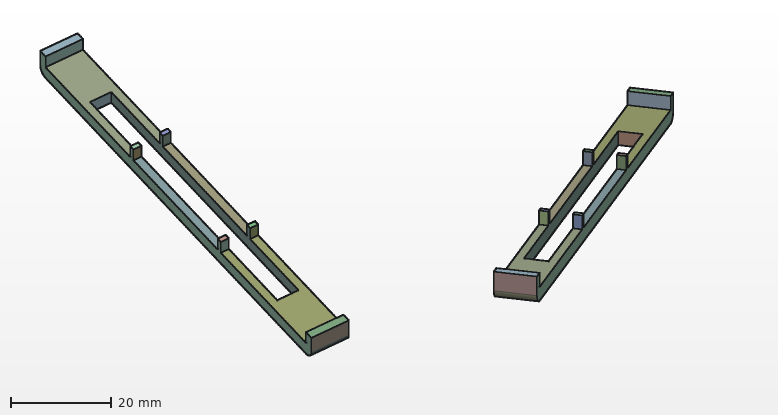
import cadquery as cq

length = 97.5
width = 9.0
height = 6.0
base_thickness = 3.0
end_wall_thickness = 1.95
bottom_edge_radius = 1.95

slot_length = 67.3
slot_start = 15.0
rail_width = 1.95

post_thickness = 1.2
post_starts = (32.4, 63.8)

slot_width = width - 2 * rail_width
upper_height = height - base_thickness


def box_from_corner(size_x, size_y, size_z, corner):
    """Box spanning the given sizes from its minimum corner."""
    return cq.Workplane("XY").box(size_x, size_y, size_z, centered=False).translate(corner)


body = box_from_corner(length, width, height, (0, 0, 0))
body = body.edges("|Y and <Z").fillet(bottom_edge_radius)
tray_length = length - 2 * end_wall_thickness
body = body.cut(box_from_corner(tray_length, width, upper_height, (end_wall_thickness, 0, base_thickness)))

body = body.cut(box_from_corner(slot_length, slot_width, base_thickness, (slot_start, rail_width, 0)))

for post_start in post_starts:
    for post_y in (0, width - rail_width):
        post = box_from_corner(
            post_thickness, rail_width, upper_height, (post_start, post_y, base_thickness)
        )
        body = body.union(post)

result = body